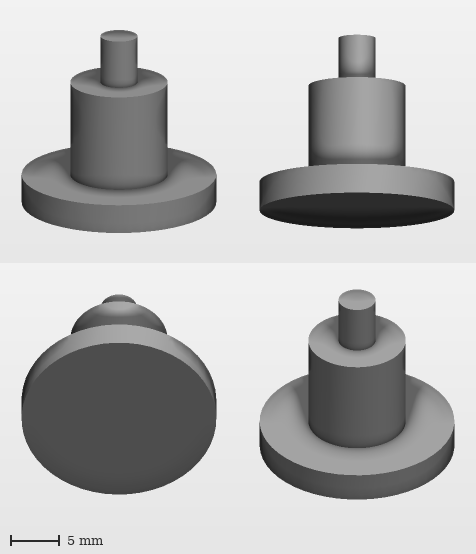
import cadquery as cq

flange_diameter = 20
flange_height = 3

body_diameter = flange_diameter / 2
body_height = 10

pin_diameter = 3.8
pin_height = 5


def cylinder(diameter, height, base_z):
    """Upright cylinder on the Z axis, starting at base_z."""
    return cq.Workplane("XY", origin=(0, 0, base_z)).circle(diameter / 2).extrude(height)


flange = cylinder(flange_diameter, flange_height, 0)
body = cylinder(body_diameter, body_height, flange_height)
pin = cylinder(pin_diameter, pin_height, flange_height + body_height)

result = flange.union(body).union(pin)